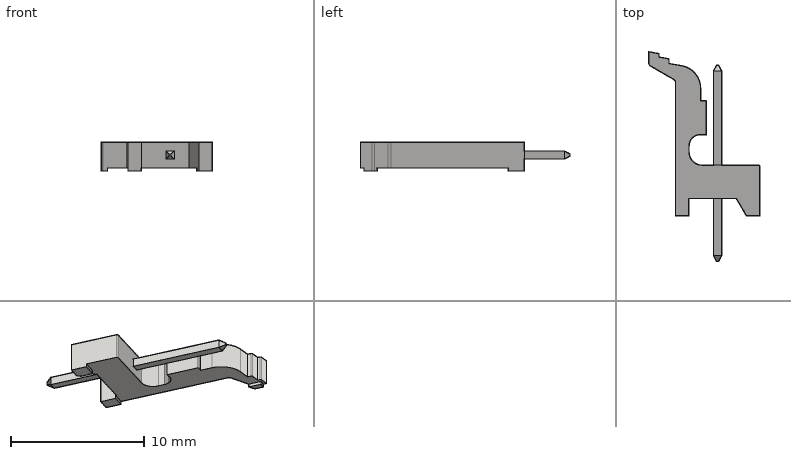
import cadquery as cq
import math


total_height = 2.19
pad_height = 0.24
plate_height = total_height - pad_height

block_right = 6.34
block_top = 3.82
foot_length = 1.3
foot_width = 1.01
foot_slope_run = 0.75
block_corner_radius = 0.1

slot_floor_x = 1.04
slot_top = 6.09
slot_upper_radius = 0.82
slot_lower_radius = 0.95

stop_right = 2.33
stop_top = 8.65
neck_right = 1.91
shoulder_radius = 1.73

latch_left = -2.0
latch_top = 12.33
latch_bottom = 11.32
latch_tilt = math.radians(10)
underside_tilt = math.radians(30)
outer_step_x = -1.23
outer_step_y = 11.94
inner_step_x = -0.47
inner_step_y = 11.45
underside_radius = 0.24
edge_radius = 0.08

foot_pad_length = 1.23
right_pad_left = 5.17
latch_pad_right = -1.53
latch_pad_top = 12.06

pin_width = 0.63
pin_x = block_right / 2
pin_z = pad_height + plate_height / 2
pin_bottom = -3.44
pin_length = 14.76
tip_length = 0.44
tip_width = 0.15


def latch_drop(run):
    """Fall of the latch's upper faces over a run along X."""
    return run * math.tan(latch_tilt)


def outline_points():
    """Corners of the housing outline before rounding, counter-clockwise."""
    underside_end = latch_bottom + latch_left * math.tan(underside_tilt)
    return {
        "wall start": (0, 0),
        "wall foot": (foot_width, 0),
        "wall foot root": (foot_width, foot_length),
        "right foot root": (block_right - foot_width - foot_slope_run, foot_length),
        "right foot": (block_right - foot_width, 0),
        "block end": (block_right, 0),
        "block corner": (block_right, block_top),
        "slot lower": (slot_floor_x, block_top),
        "slot upper": (slot_floor_x, slot_top),
        "stop lower": (stop_right, slot_top),
        "stop corner": (stop_right, stop_top),
        "neck root": (neck_right, stop_top),
        "shoulder": (neck_right, inner_step_y - latch_drop(neck_right - inner_step_x)),
        "inner step root": (inner_step_x, inner_step_y),
        "inner step": (inner_step_x, outer_step_y - latch_drop(inner_step_x - outer_step_x)),
        "outer step root": (outer_step_x, outer_step_y),
        "outer step": (outer_step_x, latch_top - latch_drop(outer_step_x - latch_left)),
        "latch tip": (latch_left, latch_top),
        "latch underside": (latch_left, latch_bottom),
        "wall end": (0, underside_end),
    }


corner_radii = {
    "block corner": block_corner_radius,
    "slot lower": slot_lower_radius,
    "slot upper": slot_upper_radius,
    "stop corner": edge_radius,
    "shoulder": shoulder_radius,
    "inner step": edge_radius,
    "outer step": edge_radius,
    "latch underside": underside_radius,
    "wall end": underside_radius,
}


def outline_prism():
    """Rounded housing outline over the full height, pads included."""
    corners = outline_points()
    prism = cq.Workplane("XY").polyline(list(corners.values())).close().extrude(total_height)
    for name, radius in corner_radii.items():
        x, y = corners[name]
        corner_edge = cq.selectors.NearestToPointSelector((x, y, total_height / 2))
        prism = prism.edges("|Z").edges(corner_edge).fillet(radius)
    return prism


def block(left, right, bottom, top, base, height):
    """Box given by its X range, Y range, base level and height."""
    return cq.Workplane("XY").box(
        right - left, top - bottom, height, centered=False
    ).translate((left, bottom, base))


def support_pads():
    """Blocks that keep the full outline height under the feet and the latch."""
    wall_pad = block(0, foot_width, 0, foot_pad_length, 0, pad_height)
    right_pad = block(right_pad_left, block_right, 0, foot_pad_length, 0, pad_height)
    latch_pad = block(latch_left, latch_pad_right, 0, latch_pad_top, 0, pad_height)
    return wall_pad.union(right_pad).union(latch_pad)


def make_pin():
    """Square pin along Y with a truncated pyramid at each end."""
    shaft_start = pin_bottom + tip_length
    shaft_end = pin_bottom + pin_length - tip_length
    pin = block(
        pin_x - pin_width / 2, pin_x + pin_width / 2, shaft_start, shaft_end,
        pin_z - pin_width / 2, pin_width,
    )
    for shaft_y, direction in ((shaft_start, -1), (shaft_end, 1)):
        plane = cq.Plane((pin_x, shaft_y, pin_z), xDir=(1, 0, 0), normal=(0, direction, 0))
        tip = (
            cq.Workplane(plane)
            .rect(pin_width, pin_width)
            .workplane(offset=tip_length)
            .rect(tip_width, tip_width)
            .loft(ruled=True)
        )
        pin = pin.union(tip)
    return pin


def make_housing(pin):
    """Plate on three support pads, with a through hole that fits the pin."""
    plate_zone = block(latch_left, block_right, 0, latch_top, pad_height, plate_height)
    return outline_prism().intersect(plate_zone.union(support_pads())).cut(pin)


pin = make_pin()
housing = make_housing(pin)

result = cq.Compound.makeCompound([housing.val(), pin.val()])